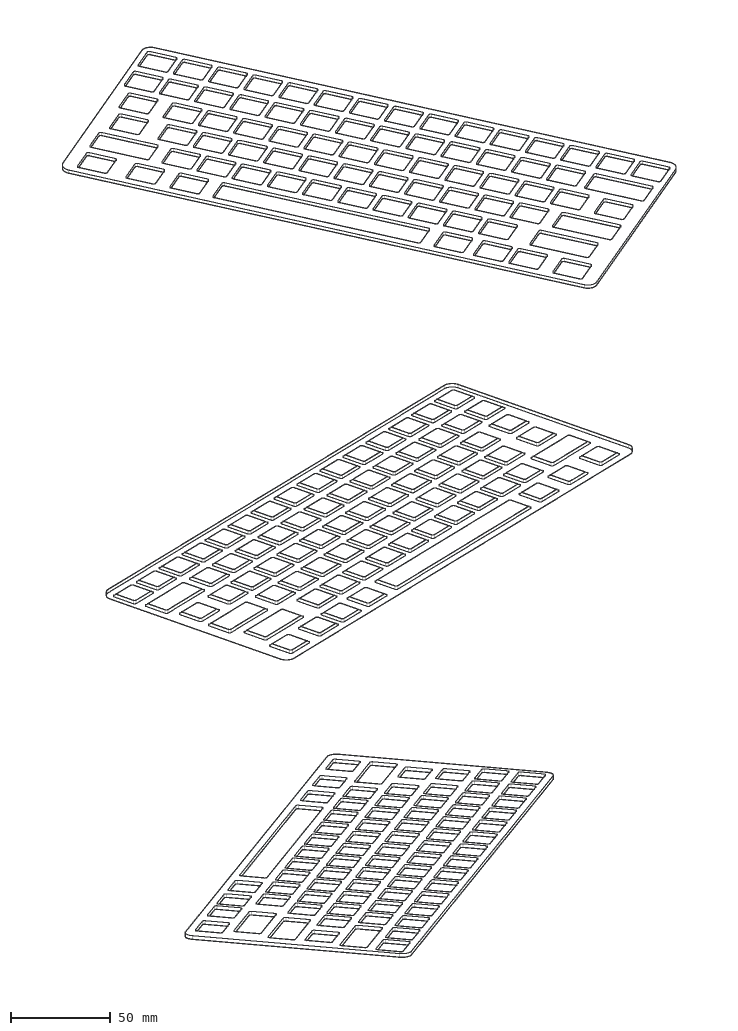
import cadquery as cq

PLATE_LENGTH = 288.2
PLATE_DEPTH = 117.3
PLATE_THICKNESS = 2.0
PLATE_CORNER_RADIUS = 5.0

ROW_UNITS = 15
FIRST_TO_LAST_KEY = 266.0
KEY_UNIT = FIRST_TO_LAST_KEY / (ROW_UNITS - 1)

CUTOUT_DEPTH = 14.0
CUTOUT_CORNER_RADIUS = 1.0
WIDE_CUTOUT = 32.0
STANDARD_CUTOUT = WIDE_CUTOUT / 2
SPACEBAR_CUTOUT = 112.0

WIDE_KEY_UNITS = 2
SPACEBAR_UNITS = 6.25

KEY_ROWS = [
    [1] * ROW_UNITS,
    [1] * 13 + [2],
    [1.5] + [1] * 12 + [1.5],
    [1.75] + [1] * 11 + [2.25],
    [2.25] + [1] * 10 + [2.75],
    [1.5, 1.25, 1.25, SPACEBAR_UNITS, 1.25, 1, 1, 1.5],
]


def cutout_length(key_width):
    """Length along X of the cutout under a key of the given width in key units."""
    if key_width >= SPACEBAR_UNITS:
        return SPACEBAR_CUTOUT
    if key_width >= WIDE_KEY_UNITS:
        return WIDE_CUTOUT
    return STANDARD_CUTOUT


def cutouts_by_length():
    """Centre points of the key cutouts, grouped by cutout length."""
    groups = {}
    for row, key_widths in enumerate(KEY_ROWS):
        y = ((len(KEY_ROWS) - 1) / 2 - row) * KEY_UNIT
        key_start = -ROW_UNITS / 2
        for key_width in key_widths:
            x = (key_start + key_width / 2) * KEY_UNIT
            groups.setdefault(cutout_length(key_width), []).append((x, y))
            key_start += key_width
    return groups


def make_plate():
    """Flat plate with rounded vertical corners, standing on Z = 0."""
    plate = cq.Workplane("XY").rect(PLATE_LENGTH, PLATE_DEPTH).extrude(PLATE_THICKNESS)
    return plate.edges("|Z").fillet(PLATE_CORNER_RADIUS)


def make_cutters(length, centres):
    """Rounded rectangular prisms of one length that pass through the plate."""
    outline = cq.Sketch().rect(length, CUTOUT_DEPTH).vertices().fillet(CUTOUT_CORNER_RADIUS)
    return cq.Workplane("XY").pushPoints(centres).placeSketch(outline).extrude(PLATE_THICKNESS)


result = make_plate()
for length, centres in cutouts_by_length().items():
    result = result.cut(make_cutters(length, centres))